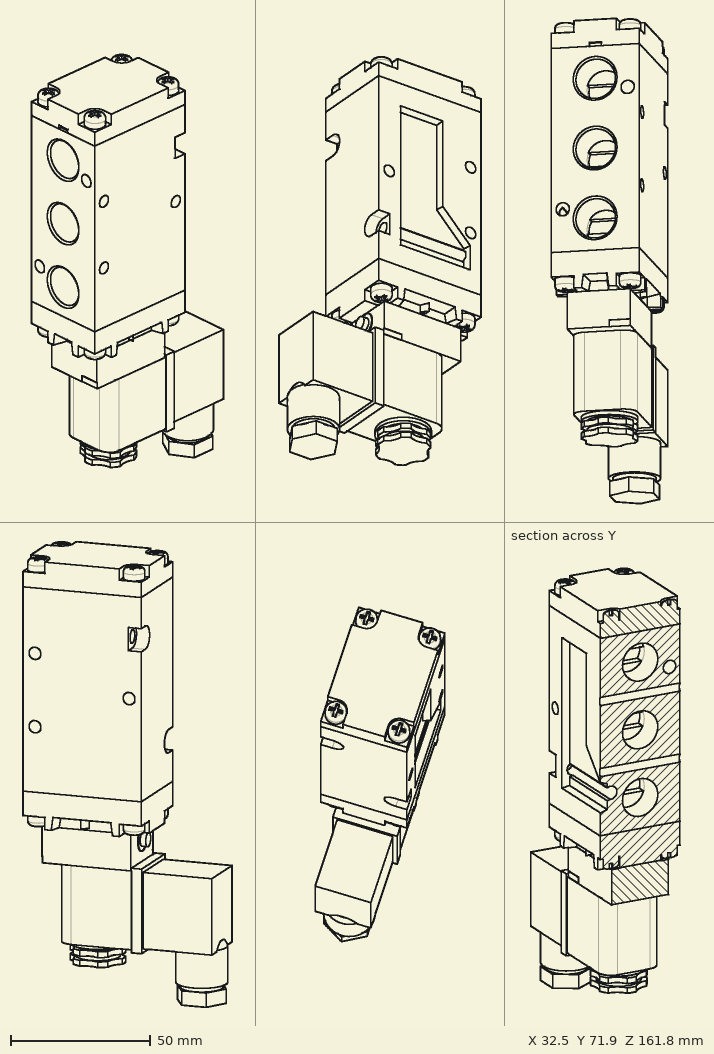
import cadquery as cq
import math


WIDTH = 32.5
DEPTH = 45.5
BODY_HEIGHT = 75.7

PORT_PITCH = 25.9
PORT_MIDDLE_Z = BODY_HEIGHT / 2
PORT_RADIUS = 7.3
PORT_FLOOR_RADIUS = 6.8
PORT_CHAMFER = 0.8
PORT_DEPTH = 16.2
PORT_SLOT_PITCH = 24.9
PORT_SLOT_HEIGHT = 5.3
PORT_SLOT_DEPTH = 3.2

MOUNT_HOLE_RADIUS = 2.5
MOUNT_HOLE_X = 12.0
MOUNT_HOLES = [(MOUNT_HOLE_X, 59.8), (-MOUNT_HOLE_X, 15.8)]
MOUNT_SEAT_WIDTH = 8.5
MOUNT_SEAT_DEPTH = 5.0

SIDE_HOLE_RADIUS = 2.3
SIDE_HOLES = [(4.7, 51.5), (4.7, 24.3), (40.7, 37.8)]

POCKET_DEPTH = 2.7
POCKET_DRAFT = 0.8
POCKET_BACK_Y = 35.7
POCKET_STEP_Y = 17.0
POCKET_FRONT_Y = 4.9
POCKET_BOTTOM_Z = 8.9
POCKET_RAMP_ANGLE = 45.0
POCKET_RAMP_BOTTOM_Z = 18.9
POCKET_RAMP_TOP_Z = POCKET_RAMP_BOTTOM_Z + (POCKET_STEP_Y - POCKET_FRONT_Y) * math.tan(
    math.radians(POCKET_RAMP_ANGLE)
)
POCKET_TOP_Z = 66.5
GROOVE_RADIUS = 2.5
GROOVE_Z = 15.5

TOP_CAP_HEIGHT = 9.9
BOTTOM_CAP_HEIGHT = 13.6
CORNER_SIZE = 8.4
CORNER_ROUNDING = 4.0
TOP_CORNER_HEIGHT = 4.2
BOTTOM_CORNER_HEIGHT = 4.5
SCREW_INSET = 4.4
SCREW_RADIUS = 3.9
SCREW_HEIGHT = 4.2
SCREW_DOME_HEIGHT = 1.8
SCREW_CROSS_LENGTH = 4.9
SCREW_CROSS_WIDTH = 1.1
SCREW_CROSS_DEPTH = 2.0
CAP_NOTCH_WIDTH = 4.5
CAP_NOTCH_HEIGHT = 1.5
CAP_NOTCH_DEPTH = 1.3

WINDOW_HEIGHT = 4.9
WINDOW_FLARE = 0.6
WINDOW_DRAFT = 1.3
FRONT_WINDOW_WIDTH = 8.7
SIDE_WINDOW_WIDTH = 22.2
SIDE_RIB_WIDTH = 2.3
SIDE_RIB_HEIGHT = 4.0
SIDE_RIB_THICKNESS = 2.5

BLOCK_WIDTH = 23.3
BLOCK_FRONT_Y = 5.7
BLOCK_BACK_Y = 39.6
BLOCK_HEIGHT = 13.6
BLOCK_NOTCH_LENGTH = 7.8
BLOCK_NOTCH_HEIGHT = 2.5
BLOCK_NOTCH_DEPTH = 0.2
BUTTON_RADIUS = 2.6
BUTTON_LENGTH = 2.5
BUTTON_RIM_RADIUS = 4.4
BUTTON_RIM_THICKNESS = 0.3
BUTTON_DROP = 4.5

COIL_WIDTH = 23.3
COIL_FRONT_Y = 11.6
COIL_BOTTOM_Z = -56.5
COIL_CORNER_RADIUS = 5.0
FLANGE_WIDTH = 24.3
FLANGE_FRONT_Y = 40.1
FLANGE_BACK_Y = 44.0
FLANGE_TOP_Z = -26.0
FLANGE_BOTTOM_Z = -57.4
PLUG_WIDTH = 21.0
PLUG_BACK_Y = 70.3
PLUG_TOP_Z = -27.7
PLUG_BOTTOM_Z = -56.0
GLAND_Y = 62.5
GLAND_RADIUS = 9.4
GLAND_TOP_Z = -52.9
GLAND_CHAMFER_HEIGHT = 2.6
GLAND_CHAMFER_WIDTH = 1.5
GLAND_BOTTOM_Z = -69.0
GLAND_NECK_RADIUS = 7.8
HEX_SIDES = 6
HEX_TOP_Z = -70.8
HEX_BOTTOM_Z = -76.2
NUT_Y = 22.8
NUT_RADIUS = 10.2
NUT_COLLAR_HEIGHT = 1.5
NUT_CORE_RADIUS = 8.1
NUT_RING_THICKNESS = 2.1
NUT_RING_TOPS = [-58.9, -62.5]
NUT_LOBES = 6
NUT_LOBE_ANGLE = 21.0
NUT_SCALLOP_RADIUS = 8.7

BLOCK_TOP_Z = -BOTTOM_CAP_HEIGHT
BLOCK_BOTTOM_Z = BLOCK_TOP_Z - BLOCK_HEIGHT


def box(x0, x1, y0, y1, z0, z1):
    """Box between two opposite corners."""
    return cq.Workplane("XY").box(x1 - x0, y1 - y0, z1 - z0, centered=False).translate((x0, y0, z0))


def upright_cylinder(y, radius, z0, z1):
    """Vertical cylinder in the middle plane."""
    return cq.Workplane("XY", origin=(0, y, z0)).circle(radius).extrude(z1 - z0)


def cylinder_along_y(x, z, radius, y0, y1):
    """Cylinder along +Y from y0 to y1."""
    return cq.Workplane("XZ", origin=(x, y0, z)).circle(radius).extrude(y0 - y1)


def port(row):
    """Chamfered, tapered blind bore with a flow slot in its floor; row is -1, 0 or 1."""
    z = PORT_MIDDLE_Z + row * PORT_PITCH
    slot_z = PORT_MIDDLE_Z + row * PORT_SLOT_PITCH
    profile = [
        (0, 0), (PORT_RADIUS + PORT_CHAMFER, 0), (PORT_RADIUS, PORT_CHAMFER),
        (PORT_FLOOR_RADIUS, PORT_DEPTH), (0, PORT_DEPTH),
    ]
    bore = (
        cq.Workplane("XY").polyline(profile).close()
        .revolve(360, (0, 0, 0), (0, 1, 0)).translate((0, 0, z))
    )
    slot_end_y = PORT_DEPTH + PORT_SLOT_DEPTH
    slot = box(
        -PORT_FLOOR_RADIUS, PORT_FLOOR_RADIUS, 0, slot_end_y,
        slot_z - PORT_SLOT_HEIGHT / 2, slot_z + PORT_SLOT_HEIGHT / 2,
    ).intersect(cylinder_along_y(0, z, PORT_FLOOR_RADIUS, 0, slot_end_y))
    return bore.union(slot)


def mounting_hole(x, z):
    """Through hole with a round-ended screw seat that opens to the nearest side face."""
    hole = cylinder_along_y(x, z, MOUNT_HOLE_RADIUS, 0, DEPTH)
    seat_y = DEPTH - MOUNT_SEAT_DEPTH
    seat_end = cylinder_along_y(x, z, MOUNT_SEAT_WIDTH / 2, seat_y, DEPTH)
    side = math.copysign(WIDTH / 2, x)
    opening = box(
        min(x, side), max(x, side), seat_y, DEPTH,
        z - MOUNT_SEAT_WIDTH / 2, z + MOUNT_SEAT_WIDTH / 2,
    )
    return hole.union(seat_end).union(opening)


def pocket_outline(inset):
    """Corner points (Y, Z) of the side pocket."""
    ramp_shift = inset * math.tan(math.radians(POCKET_RAMP_ANGLE / 2))
    return [
        (POCKET_BACK_Y - inset, POCKET_BOTTOM_Z + inset),
        (POCKET_BACK_Y - inset, POCKET_TOP_Z - inset),
        (POCKET_STEP_Y + inset, POCKET_TOP_Z - inset),
        (POCKET_STEP_Y + inset, POCKET_RAMP_TOP_Z - ramp_shift),
        (POCKET_FRONT_Y + inset, POCKET_RAMP_BOTTOM_Z - ramp_shift),
        (POCKET_FRONT_Y + inset, POCKET_BOTTOM_Z + inset),
    ]


def side_pocket():
    """Drafted pocket in the -X face with a half-round groove across its floor."""
    pocket = (
        cq.Workplane("YZ", origin=(-WIDTH / 2, 0, 0))
        .polyline(pocket_outline(0)).close()
        .workplane(offset=POCKET_DEPTH)
        .polyline(pocket_outline(POCKET_DRAFT)).close()
        .loft(ruled=True)
    )
    groove_start = POCKET_FRONT_Y + POCKET_DRAFT
    groove_end = POCKET_BACK_Y - POCKET_DRAFT
    groove = cylinder_along_y(POCKET_DEPTH - WIDTH / 2, GROOVE_Z, GROOVE_RADIUS, groove_start, groove_end)
    return pocket.union(groove)


def make_valve_body():
    body = box(-WIDTH / 2, WIDTH / 2, 0, DEPTH, 0, BODY_HEIGHT)
    for row in (-1, 0, 1):
        body = body.cut(port(row))
    for x, z in MOUNT_HOLES:
        body = body.cut(mounting_hole(x, z))
    side_holes = (
        cq.Workplane("YZ", origin=(-WIDTH / 2, 0, 0))
        .pushPoints(SIDE_HOLES).circle(SIDE_HOLE_RADIUS).extrude(WIDTH)
    )
    return body.cut(side_holes).cut(side_pocket())


def corner_notch(height, cap_height):
    """Screw recess at the +X +Y corner of a cap centred on the Z axis."""
    return (
        box(
            WIDTH / 2 - CORNER_SIZE, WIDTH / 2,
            DEPTH / 2 - CORNER_SIZE, DEPTH / 2,
            cap_height - height, cap_height,
        )
        .edges("|Z and <X and <Y").fillet(CORNER_ROUNDING)
    )


def screw(base_z):
    """Domed head with a cross recess at the +X +Y corner of a cap."""
    x = WIDTH / 2 - SCREW_INSET
    y = DEPTH / 2 - SCREW_INSET
    head = (
        cq.Workplane("XY", origin=(x, y, base_z))
        .circle(SCREW_RADIUS).extrude(SCREW_HEIGHT)
        .faces(">Z").edges().fillet(SCREW_DOME_HEIGHT)
    )
    cross = (
        cq.Workplane("XY", origin=(x, y, base_z + SCREW_HEIGHT - SCREW_CROSS_DEPTH))
        .rect(SCREW_CROSS_LENGTH, SCREW_CROSS_WIDTH).extrude(SCREW_CROSS_DEPTH)
    )
    return head.cut(cross).cut(cross.rotate((x, y, 0), (x, y, 1), 90))


def end_cap(cap_height, corner_height):
    """Cap centred on the Z axis with a screw in each corner."""
    cap = cq.Workplane("XY").box(WIDTH, DEPTH, cap_height, centered=(True, True, False))
    notch = corner_notch(corner_height, cap_height)
    corner_screw = screw(cap_height - corner_height)
    notch_pair = notch.union(notch.mirror("YZ"))
    screw_pair = corner_screw.union(corner_screw.mirror("YZ"))
    for angle in (0, 180):
        cap = cap.cut(notch_pair.rotate((0, 0, 0), (0, 0, 1), angle))
        cap = cap.union(screw_pair.rotate((0, 0, 0), (0, 0, 1), angle))
    return cap


def make_top_cap():
    cap = end_cap(TOP_CAP_HEIGHT, TOP_CORNER_HEIGHT).translate((0, DEPTH / 2, BODY_HEIGHT))
    notch = box(
        -CAP_NOTCH_WIDTH / 2, CAP_NOTCH_WIDTH / 2, 0, CAP_NOTCH_DEPTH,
        BODY_HEIGHT, BODY_HEIGHT + CAP_NOTCH_HEIGHT,
    )
    return cap.cut(notch)


def window(width, depth):
    """Flared and drafted recess at the lower edge of the Y = 0 face, cut towards +Y."""
    def outline(inset):
        top_z = BLOCK_TOP_Z + WINDOW_HEIGHT - inset
        half = width / 2 - inset
        return [
            (-half - WINDOW_FLARE, BLOCK_TOP_Z), (-half, top_z),
            (half, top_z), (half + WINDOW_FLARE, BLOCK_TOP_Z),
        ]
    return (
        cq.Workplane("XZ").polyline(outline(0)).close()
        .workplane(offset=-depth).polyline(outline(WINDOW_DRAFT)).close()
        .loft(ruled=True)
    )


def window_rib(depth):
    """Vertical wedge rib standing on the back of a window of the given depth."""
    half = SIDE_RIB_WIDTH / 2
    rib_points = [(-half, depth), (half, depth), (half, depth - SIDE_RIB_THICKNESS)]
    top_z = BLOCK_TOP_Z + WINDOW_HEIGHT
    return (
        cq.Workplane("XY", origin=(0, 0, top_z))
        .polyline(rib_points).close().extrude(-SIDE_RIB_HEIGHT)
    )


def make_bottom_cap():
    cap = (
        end_cap(BOTTOM_CAP_HEIGHT, BOTTOM_CORNER_HEIGHT)
        .mirror("XY").translate((0, DEPTH / 2, 0))
        .cut(window(FRONT_WINDOW_WIDTH, BLOCK_FRONT_Y))
    )
    side_depth = (WIDTH - BLOCK_WIDTH) / 2
    side_window = (
        window(SIDE_WINDOW_WIDTH, side_depth).cut(window_rib(side_depth)).rotate((0, 0, 0), (0, 0, 1), -90)
        .translate((-WIDTH / 2, (BLOCK_FRONT_Y + BLOCK_BACK_Y) / 2, 0))
    )
    return cap.cut(side_window).cut(side_window.mirror("YZ"))


def make_pilot_block():
    half = BLOCK_WIDTH / 2
    block = box(-half, half, BLOCK_FRONT_Y, BLOCK_BACK_Y, BLOCK_BOTTOM_Z, BLOCK_TOP_Z)
    notch_top = BLOCK_BOTTOM_Z + BLOCK_NOTCH_HEIGHT
    front_notch = box(
        half - BLOCK_NOTCH_LENGTH, half,
        BLOCK_FRONT_Y, BLOCK_FRONT_Y + BLOCK_NOTCH_DEPTH, BLOCK_BOTTOM_Z, notch_top,
    )
    side_notch = box(
        -half, BLOCK_NOTCH_DEPTH - half,
        BLOCK_BACK_Y - BLOCK_NOTCH_LENGTH, BLOCK_BACK_Y, BLOCK_BOTTOM_Z, notch_top,
    )
    button_z = BLOCK_TOP_Z - BUTTON_DROP
    button = cylinder_along_y(0, button_z, BUTTON_RADIUS, BLOCK_BACK_Y, BLOCK_BACK_Y + BUTTON_LENGTH)
    rim = cylinder_along_y(
        0, button_z, BUTTON_RIM_RADIUS, BLOCK_BACK_Y, BLOCK_BACK_Y + BUTTON_RIM_THICKNESS
    )
    return block.cut(front_notch).cut(side_notch).union(button).union(rim)


def lobed_ring(top_z):
    """Grip ring of the coil nut: round lobes joined by concave scallops."""
    def rim_point(radius, angle):
        turn = math.radians(angle)
        return (radius * math.sin(turn), -radius * math.cos(turn))

    pitch = 360 / NUT_LOBES
    half_lobe = NUT_LOBE_ANGLE / 2
    outline = cq.Workplane("XY", origin=(0, NUT_Y, top_z)).moveTo(*rim_point(NUT_RADIUS, -half_lobe))
    for lobe in range(NUT_LOBES):
        middle = lobe * pitch
        outline = outline.threePointArc(
            rim_point(NUT_RADIUS, middle), rim_point(NUT_RADIUS, middle + half_lobe)
        ).threePointArc(
            rim_point(NUT_SCALLOP_RADIUS, middle + pitch / 2),
            rim_point(NUT_RADIUS, middle + pitch - half_lobe),
        )
    return outline.close().extrude(-NUT_RING_THICKNESS)


def coil_nut():
    collar = upright_cylinder(NUT_Y, NUT_RADIUS, COIL_BOTTOM_Z - NUT_COLLAR_HEIGHT, COIL_BOTTOM_Z)
    core_bottom = NUT_RING_TOPS[-1] - NUT_RING_THICKNESS
    nut = collar.union(upright_cylinder(NUT_Y, NUT_CORE_RADIUS, core_bottom, COIL_BOTTOM_Z))
    for top_z in NUT_RING_TOPS:
        nut = nut.union(lobed_ring(top_z))
    return nut


def cable_gland():
    barrel = (
        upright_cylinder(GLAND_Y, GLAND_RADIUS, GLAND_BOTTOM_Z, GLAND_TOP_Z)
        .faces(">Z").chamfer(GLAND_CHAMFER_HEIGHT, GLAND_CHAMFER_WIDTH)
    )
    neck = upright_cylinder(GLAND_Y, GLAND_NECK_RADIUS, HEX_TOP_Z, GLAND_BOTTOM_Z)
    hexagon = (
        cq.Workplane("XY", origin=(0, GLAND_Y, HEX_BOTTOM_Z))
        .transformed(rotate=(0, 0, 90))
        .polygon(HEX_SIDES, 2 * GLAND_RADIUS).extrude(HEX_TOP_Z - HEX_BOTTOM_Z)
    )
    return barrel.union(neck).union(hexagon)


def make_solenoid():
    coil = box(
        -COIL_WIDTH / 2, COIL_WIDTH / 2, COIL_FRONT_Y, FLANGE_FRONT_Y, COIL_BOTTOM_Z, BLOCK_BOTTOM_Z
    ).edges("|Z and <Y").fillet(COIL_CORNER_RADIUS)
    flange = box(
        -FLANGE_WIDTH / 2, FLANGE_WIDTH / 2, FLANGE_FRONT_Y, FLANGE_BACK_Y, FLANGE_BOTTOM_Z, FLANGE_TOP_Z
    )
    plug = box(
        -PLUG_WIDTH / 2, PLUG_WIDTH / 2, FLANGE_BACK_Y, PLUG_BACK_Y, PLUG_BOTTOM_Z, PLUG_TOP_Z
    )
    return coil.union(flange).union(plug).union(coil_nut()).union(cable_gland())


valve_body = make_valve_body()
top_cap = make_top_cap()
bottom_cap = make_bottom_cap()
pilot_block = make_pilot_block()
solenoid = make_solenoid()

result = cq.Compound.makeCompound(
    [valve_body.val(), top_cap.val(), bottom_cap.val(), pilot_block.val(), solenoid.val()]
)